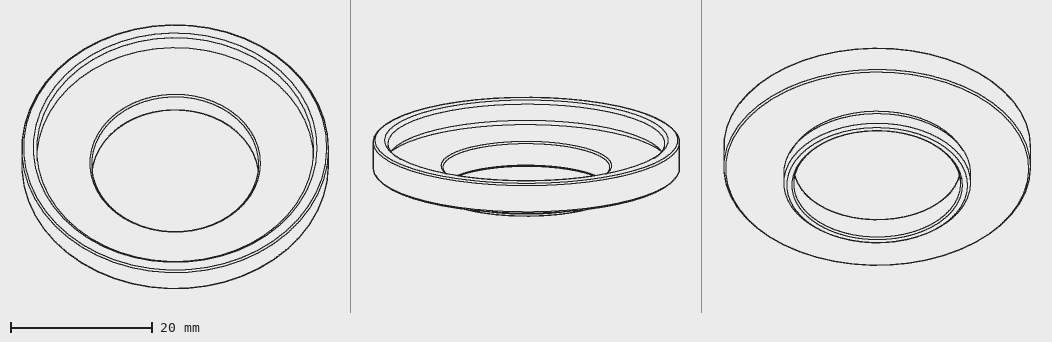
import cadquery as cq

flange_diameter = 43.2
flange_height = 4.35
flange_chamfer = 0.25

recess_diameter = 39.0
recess_depth = 3.7
recess_chamfer = 0.48
relief_diameter = 40.6
relief_height = 0.85

neck_diameter = 25.4
neck_height = 0.8
collar_diameter = 26.3
collar_height = 2.2
collar_chamfer = 0.45

bore_diameter = 23.5
bore_chamfer = 0.25

neck_bottom = collar_height
flange_bottom = neck_bottom + neck_height
flange_top = flange_bottom + flange_height
recess_floor = flange_top - recess_depth


def disc(diameter, height, bottom):
    """Solid disc about the Z axis, starting at the given height."""
    return cq.Workplane("XY").workplane(offset=bottom).circle(diameter / 2).extrude(height)


def countersink(hole_diameter, chamfer, face_height, direction):
    """45-degree cone frustum that chamfers a hole edge; direction is -1 to taper down, +1 up."""
    rim_radius = hole_diameter / 2 + chamfer
    profile = cq.Workplane("XY").workplane(offset=face_height).circle(rim_radius)
    return profile.extrude(direction * chamfer, taper=45)


flange = disc(flange_diameter, flange_height, flange_bottom).edges().chamfer(flange_chamfer)
neck = disc(neck_diameter, neck_height, neck_bottom)
collar = disc(collar_diameter, collar_height, 0).faces("<Z").edges().chamfer(collar_chamfer)
body = flange.union(neck).union(collar)

body = body.cut(disc(recess_diameter, recess_depth, recess_floor))
body = body.cut(disc(relief_diameter, relief_height, recess_floor))
body = body.cut(countersink(recess_diameter, recess_chamfer, flange_top, -1))

body = body.cut(disc(bore_diameter, recess_floor, 0))
body = body.cut(countersink(bore_diameter, bore_chamfer, recess_floor, -1))
body = body.cut(countersink(bore_diameter, bore_chamfer, 0, 1))

result = body